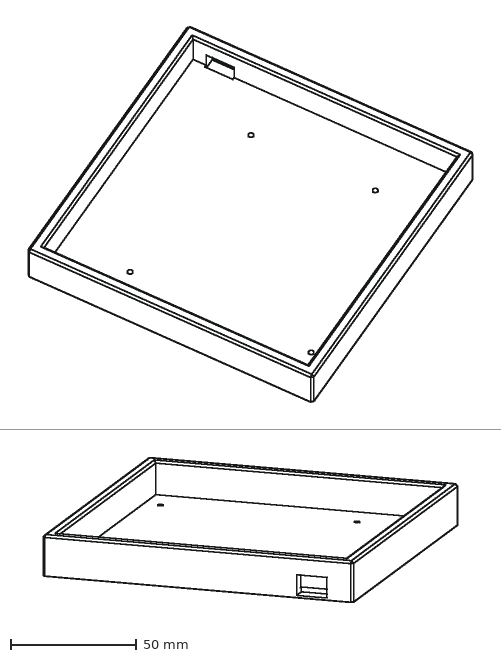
import cadquery as cq

side = 131.0
height = 17.0
wall = 5.0
floor = 3.0
edge_chamfer = 1.0

hole_diameter = 2.2
hole_centres = [(-21.5, 38.5), (35.5, 38.5), (-29.5, -45.5), (53.5, -45.5)]

opening_width = 12.8
opening_height = 8.5
opening_bottom = 1.0
opening_offset = 11.0
opening_floor_reach = 1.0


def make_shell():
    """Open-topped tray with chamfered corners and rim."""
    outer = (
        cq.Workplane("XY")
        .box(side, side, height, centered=(True, True, False))
        .edges("|Z or >Z")
        .chamfer(edge_chamfer)
    )
    inner_side = side - 2 * wall
    cavity = (
        cq.Workplane("XY")
        .workplane(offset=floor)
        .rect(inner_side, inner_side)
        .extrude(height - floor)
    )
    rim_side = inner_side + 2 * edge_chamfer
    rim_bevel = (
        cq.Workplane("XY")
        .workplane(offset=height - edge_chamfer)
        .rect(inner_side, inner_side)
        .workplane(offset=edge_chamfer)
        .rect(rim_side, rim_side)
        .loft(ruled=True)
    )
    return outer.cut(cavity).cut(rim_bevel)


def cut_screw_holes(body):
    holes = cq.Workplane("XY").pushPoints(hole_centres).circle(hole_diameter / 2).extrude(floor)
    return body.cut(holes)


def cut_cable_opening(body):
    depth = wall + opening_floor_reach
    opening = (
        cq.Workplane("XY")
        .box(opening_width, depth, opening_height, centered=False)
        .translate((opening_offset - side / 2, side / 2 - depth, opening_bottom))
    )
    return body.cut(opening)


result = cut_cable_opening(cut_screw_holes(make_shell()))